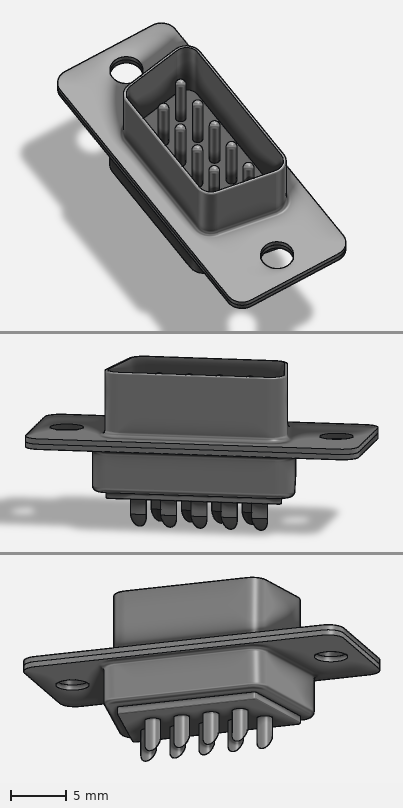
import cadquery as cq
import math


flange_length = 30.8
flange_width = 12.5
flange_thickness = 0.5
flange_corner_radius = 1.5
mount_hole_diameter = 3.02
mount_hole_spacing = 24.95

side_slope = math.tan(math.radians(10.0))
shell_corner_radius = 1.5
front_half_width = 7.92
front_half_depth = 4.37
rear_half_width = 8.65
rear_half_depth = 5.5
base_half_width = 7.42
base_half_depth = 4.22
base_corner_radius = 0.28

front_height = 6.5
front_wall = 0.28
front_root_radius = 0.5
rim_round = 0.15

rear_depth = 4.5
rear_wall = flange_thickness
rear_root_radius = 0.5
rear_edge_radius = 0.5

base_depth = 5.2
base_edge_radius = 0.15

contact_pitch = 2.8
row_offset = contact_pitch / 2
back_row_count = 5
front_row_count = 4
pin_radius = 0.5
pin_top = 5.55
cup_radius = 0.75
cup_tip_depth = 8.32
cup_slant_height = 1.23


def d_prism(half_width, half_depth, corner_radius, z_low, z_high):
    """Upright prism with a D-sub outline, wide along +Y, with rounded corners."""
    wide = half_width + half_depth * side_slope
    narrow = half_width - half_depth * side_slope
    corners = [(-wide, half_depth), (wide, half_depth), (narrow, -half_depth), (-narrow, -half_depth)]
    prism = cq.Workplane("XY").workplane(offset=z_low).polyline(corners).close().extrude(z_high - z_low)
    return prism.edges("|Z").fillet(corner_radius)


def inset_d_prism(half_width, half_depth, wall, z_low, z_high):
    """D prism whose faces lie one wall thickness inside those of a shell outline."""
    inset_half_width = half_width - wall * math.hypot(1.0, side_slope)
    return d_prism(inset_half_width, half_depth - wall, shell_corner_radius - wall, z_low, z_high)


def make_flange(z_low):
    flange = cq.Workplane("XY").workplane(offset=z_low).rect(flange_length, flange_width)
    flange = flange.extrude(flange_thickness).edges("|Z").fillet(flange_corner_radius)
    mount_points = [(-mount_hole_spacing / 2, 0), (mount_hole_spacing / 2, 0)]
    return flange.faces(">Z").workplane().pushPoints(mount_points).hole(mount_hole_diameter)


def edges_at(solid, half_width, half_depth, z):
    """Edges of a D outline lying at height z, picked by a thin box around the outline."""
    margin = 0.03
    reach = half_width + half_depth * side_slope
    box = cq.selectors.BoxSelector((-reach, -half_depth - margin, z - margin),
                                   (reach, half_depth + margin, z + margin), boundingbox=True)
    return solid.edges(box)


def make_front_shell():
    """Flange with a thin D-shaped collar, open at both ends."""
    collar = d_prism(front_half_width, front_half_depth, shell_corner_radius, 0, front_height)
    collar = collar.faces(">Z").edges().fillet(rim_round)
    shell = make_flange(0).union(collar)
    shell = edges_at(shell, front_half_width, front_half_depth, flange_thickness).fillet(front_root_radius)
    opening = inset_d_prism(front_half_width, front_half_depth, front_wall, 0, front_height)
    return shell.cut(opening)


def make_rear_cavity():
    """Inside of the rear shell, which the insulator fills."""
    return inset_d_prism(rear_half_width, rear_half_depth, rear_wall, rear_wall - rear_depth, 0)


def make_base():
    """Narrow end of the insulator that passes out through the floor of the rear shell."""
    base = d_prism(base_half_width, base_half_depth, base_corner_radius, -base_depth, 0)
    return base.faces("<Z").edges().fillet(base_edge_radius)


def make_rear_shell():
    """Flange with a sheet metal cup below it, its floor open around the insulator."""
    cup = d_prism(rear_half_width, rear_half_depth, shell_corner_radius, -rear_depth, 0)
    cup = cup.faces("<Z").edges().fillet(rear_edge_radius)
    shell = make_flange(-flange_thickness).union(cup)
    shell = edges_at(shell, rear_half_width, rear_half_depth, -flange_thickness).fillet(rear_root_radius)
    return shell.cut(make_rear_cavity()).cut(make_base())


def row_points(count, y):
    return [((i - (count - 1) / 2) * contact_pitch, y) for i in range(count)]


def make_contact(x, y):
    """Round-ended pin above, half-round solder cup with a slanted end below."""
    dome_base = pin_top - pin_radius
    dome_middle = (pin_radius * math.sin(math.pi / 4), dome_base + pin_radius * math.cos(math.pi / 4))
    pin_profile = cq.Workplane("XZ").moveTo(0, -base_depth).lineTo(pin_radius, -base_depth)
    pin_profile = pin_profile.lineTo(pin_radius, dome_base).threePointArc(dome_middle, (0, pin_top)).close()
    pin = pin_profile.revolve(360, (0, 0), (0, 1))
    slant_start = cup_slant_height - cup_tip_depth
    cup_side = [(0, -base_depth), (0, slant_start), (-cup_radius, -cup_tip_depth), (-cup_radius, -base_depth)]
    cup = cq.Workplane("YZ").polyline(cup_side).close().extrude(cup_radius, both=True)
    barrel = cq.Workplane("XY").workplane(offset=-cup_tip_depth).circle(cup_radius)
    cup = cup.intersect(barrel.extrude(cup_tip_depth - base_depth))
    return pin.union(cup).translate((x, y, 0))


def make_insulator(front_row):
    """Insulator with the back row of contacts moulded in and holes for the front row."""
    insulator = make_rear_cavity().union(make_base())
    for x, y in row_points(back_row_count, row_offset):
        insulator = insulator.union(make_contact(x, y))
    for contact in front_row:
        insulator = insulator.cut(contact)
    return insulator


front_row = [make_contact(x, y) for x, y in row_points(front_row_count, -row_offset)]
insulator = make_insulator(front_row)
front_shell = make_front_shell()
rear_shell = make_rear_shell()

result = cq.Compound.makeCompound([
    front_shell.val(),
    rear_shell.val(),
    insulator.val(),
    *[contact.val() for contact in front_row],
])